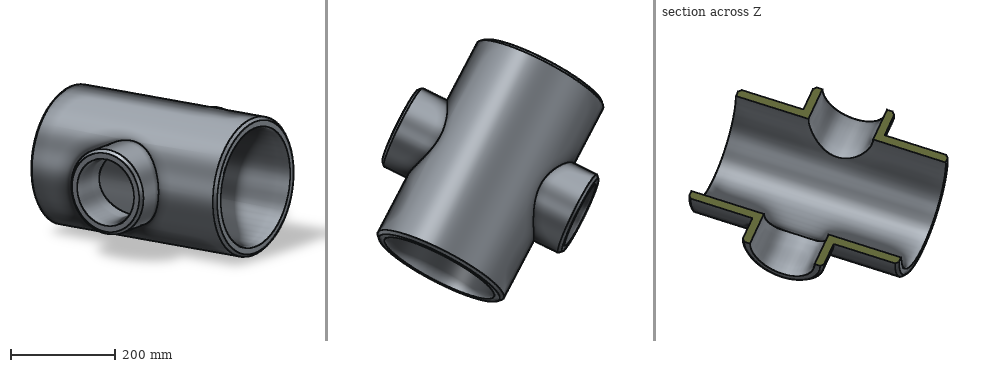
import cadquery as cq

run_length = 432.0
run_outer_diameter = 273.0
run_bore_diameter = 236.5

branch_span = 387.0
branch_outer_diameter = 168.0
branch_bore_diameter = 132.0

bevel = 6.0


def centered_cylinder(plane, diameter, length):
    """Cylinder centred on the origin, along the normal of the plane."""
    return cq.Workplane(plane).circle(diameter / 2).extrude(length / 2, both=True)


def beveled_cylinder(plane, diameter, length):
    """Centred cylinder with both end edges beveled."""
    ends = centered_cylinder(plane, diameter, length).faces("%PLANE")
    return ends.edges().chamfer(bevel)


run = beveled_cylinder("YZ", run_outer_diameter, run_length)
branches = beveled_cylinder("XZ", branch_outer_diameter, branch_span)
run_bore = centered_cylinder("YZ", run_bore_diameter, run_length)
branch_bore = centered_cylinder("XZ", branch_bore_diameter, branch_span)

result = run.union(branches).cut(run_bore).cut(branch_bore)